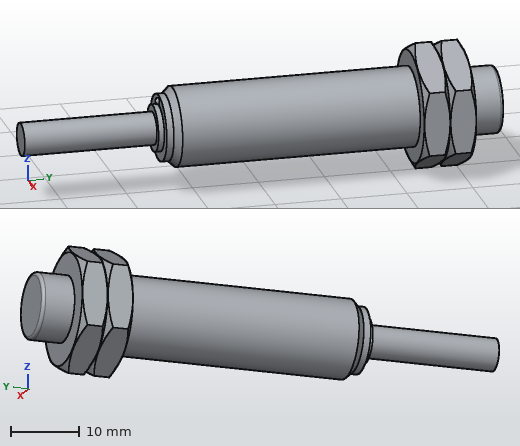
import cadquery as cq
import math

total_length = 72.0
gland_end = 20.0
collar_end = 20.9
bevel_start = 21.95
bevel_end = 23.05
nose_length = 5.05
nut_thickness = 3.95
nut_count = 2
nut_stack_end = total_length - nose_length

cable_diameter = 5.0
gland_diameter = 7.05
collar_diameter = 10.1
body_diameter = 12.0
nose_diameter = 10.1
nose_rounding = 0.5

nut_across_flats = 17.0
nut_across_corners = nut_across_flats / math.cos(math.radians(30))
nut_face_diameter = 16.85
nut_bevel_angle = 30.0

lamp_radius = 0.5
lamp_height = 4.2


def revolve_about_y(points):
    """Turn a closed (radius, y) outline about the Y axis."""
    return cq.Workplane("XY").polyline(points).close().revolve(360, (0, 0, 0), (0, 1, 0))


def make_sensor():
    """Cable, gland, collar, body and nose as one turned piece."""
    cable_radius = cable_diameter / 2
    gland_radius = gland_diameter / 2
    collar_radius = collar_diameter / 2
    body_radius = body_diameter / 2
    nose_radius = nose_diameter / 2
    turned = revolve_about_y([
        (0, 0),
        (cable_radius, 0),
        (cable_radius, gland_end),
        (gland_radius, gland_end),
        (gland_radius, collar_end),
        (collar_radius, collar_end),
        (collar_radius, bevel_start),
        (body_radius, bevel_end),
        (body_radius, nut_stack_end),
        (nose_radius, nut_stack_end),
        (nose_radius, total_length),
        (0, total_length),
    ])
    return turned.faces(">Y").edges().fillet(nose_rounding)


def make_nut(y_start):
    """Hexagon nut with corners on Z and conical bevels on both faces."""
    y_end = y_start + nut_thickness
    face_radius = nut_face_diameter / 2
    corner_radius = nut_across_corners / 2
    bevel_length = (corner_radius - face_radius) * math.tan(math.radians(nut_bevel_angle))
    hexagon = (
        cq.Workplane("XZ", origin=(0, y_start, 0))
        .transformed(rotate=(0, 0, 90))
        .polygon(6, nut_across_corners)
        .extrude(-nut_thickness)
    )
    envelope = revolve_about_y([
        (0, y_start),
        (face_radius, y_start),
        (corner_radius, y_start + bevel_length),
        (corner_radius, y_end - bevel_length),
        (face_radius, y_end),
        (0, y_end),
    ])
    return hexagon.intersect(envelope)


def make_lamp():
    """Ball sunk to its middle in the collar face, leaving a dome."""
    return cq.Workplane("XY").sphere(lamp_radius).translate((0, collar_end, lamp_height))


result = make_sensor().union(make_lamp())
for nut_number in range(1, nut_count + 1):
    result = result.union(make_nut(nut_stack_end - nut_number * nut_thickness))